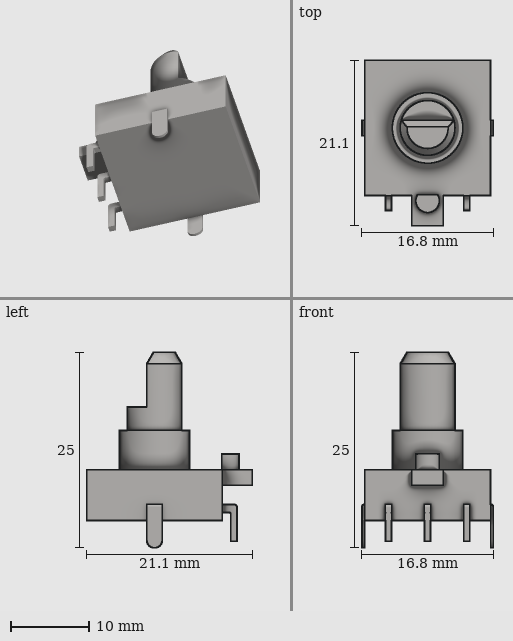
import cadquery as cq

body_x = 16.1
body_y = 17.3
body_z = 6.5
front_y = -body_y / 2

bushing_radius = 4.5
bushing_height = 5.0
bushing_top = body_z + bushing_height
shaft_radius = 3.5
shaft_top = 21.5
flat_y = 1.0
flat_bottom = bushing_top + 3.0
tip_inset = 0.88
tip_height = 1.5

ledge_width = 4.05
ledge_reach = 3.85
ledge_height = 2.0
peg_radius = 1.5
peg_height = 2.0
peg_y = front_y - 0.65
peg_flat_y = peg_y + 0.75

terminal_pitch = 5.0
terminal_width = 0.8
terminal_reach = 1.9
terminal_top = 2.08
terminal_bottom = -2.65
terminal_arm = 1.05
terminal_leg = 0.85
terminal_outer_bend = 0.42
terminal_inner_bend = 0.15

lug_width = 2.0
lug_thickness = 0.35
lug_top = terminal_top
lug_bottom = shaft_top - 25.0


def block(x_size, y_min, y_max, z_min, z_max):
    """Box centred on X = 0 between the given Y and Z limits."""
    return (
        cq.Workplane("XY")
        .box(x_size, y_max - y_min, z_max - z_min, centered=(True, False, False))
        .translate((0, y_min, z_min))
    )


def make_shaft():
    """Shaft with a conical tip, cut to a flat that slopes inward alongside the cone."""
    tip_bottom = shaft_top - tip_height
    shaft = (
        cq.Workplane("XZ")
        .moveTo(0, bushing_top)
        .lineTo(shaft_radius, bushing_top)
        .lineTo(shaft_radius, tip_bottom)
        .lineTo(shaft_radius - tip_inset, shaft_top)
        .lineTo(0, shaft_top)
        .close()
        .revolve(360, (0, 0), (0, 1))
    )
    removed_side = (
        cq.Workplane("YZ")
        .moveTo(flat_y, flat_bottom)
        .lineTo(flat_y, tip_bottom)
        .lineTo(flat_y - tip_inset, shaft_top)
        .lineTo(shaft_radius, shaft_top)
        .lineTo(shaft_radius, flat_bottom)
        .close()
        .extrude(shaft_radius, both=True)
    )
    return shaft.cut(removed_side)


def make_ledge():
    """Ledge flush with the housing top, carrying the peg."""
    ledge = block(ledge_width, front_y - ledge_reach, front_y, body_z - ledge_height, body_z)
    peg_top = body_z + peg_height
    peg = cq.Workplane("XY").workplane(offset=body_z).center(0, peg_y).circle(peg_radius)
    peg = peg.extrude(peg_height)
    peg = peg.cut(block(2 * peg_radius, peg_flat_y, peg_y + peg_radius, body_z, peg_top))
    return ledge.union(peg)


def make_terminal(x):
    """L-shaped terminal leaving the front face and bending down."""
    outer_y = front_y - terminal_reach
    inner_y = outer_y + terminal_leg
    arm_bottom = terminal_top - terminal_arm
    terminal = (
        cq.Workplane("YZ")
        .moveTo(front_y, terminal_top)
        .lineTo(outer_y + terminal_outer_bend, terminal_top)
        .radiusArc((outer_y, terminal_top - terminal_outer_bend), -terminal_outer_bend)
        .lineTo(outer_y, terminal_bottom)
        .lineTo(inner_y, terminal_bottom)
        .lineTo(inner_y, arm_bottom - terminal_inner_bend)
        .radiusArc((inner_y + terminal_inner_bend, arm_bottom), terminal_inner_bend)
        .lineTo(front_y, arm_bottom)
        .close()
        .extrude(terminal_width / 2, both=True)
    )
    return terminal.translate((x, 0, 0))


def make_lug(side):
    """Flat lug with a semicircular lower end and a rounded top outer edge."""
    radius = lug_width / 2
    outer_x = body_x / 2 + lug_thickness
    outline = (
        cq.Workplane("YZ")
        .workplane(offset=body_x / 2)
        .moveTo(-radius, lug_top)
        .lineTo(-radius, lug_bottom + radius)
        .threePointArc((0, lug_bottom), (radius, lug_bottom + radius))
        .lineTo(radius, lug_top)
        .close()
        .extrude(lug_thickness)
    )
    corner = (
        cq.Workplane("XZ")
        .moveTo(body_x / 2, lug_top)
        .radiusArc((outer_x, lug_top - lug_thickness), lug_thickness)
        .lineTo(outer_x, lug_top)
        .close()
        .extrude(radius, both=True)
    )
    lug = outline.cut(corner)
    return lug if side > 0 else lug.mirror("YZ")


bushing = cq.Workplane("XY").workplane(offset=body_z).circle(bushing_radius).extrude(bushing_height)

result = block(body_x, front_y, -front_y, 0, body_z)
result = result.union(bushing).union(make_shaft()).union(make_ledge())
for position in (-1, 0, 1):
    result = result.union(make_terminal(position * terminal_pitch))
for side in (-1, 1):
    result = result.union(make_lug(side))